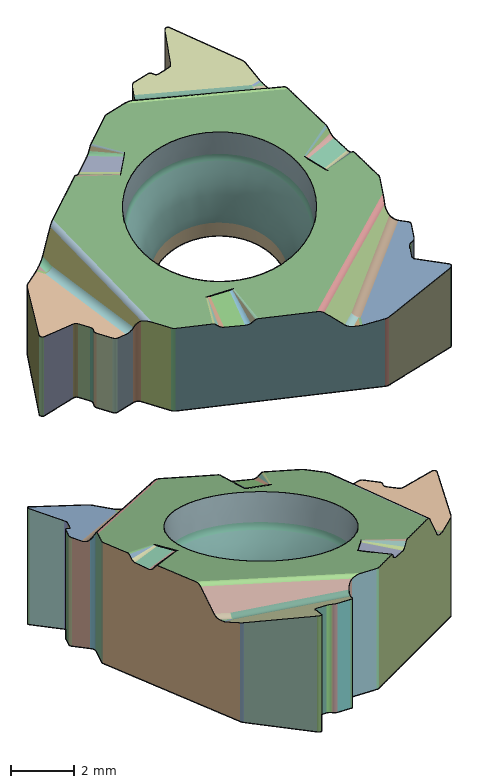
import cadquery as cq
import math

CORNER_COUNT = 3
CORNER_STEP = 360 / CORNER_COUNT

thickness = 4.11
inradius = 4.74
flank_distance = 6.44
tip_distance = 6.92
tip_radius = 0.11
flank_angle = 60
flank_slope = math.tan(math.radians(flank_angle))

root_y = -5.77
step_drop = 0.19
step_middle_x = -2.0
shoulder_x = -1.22
heel_y = -5.21
form_radius = 0.16
corner_radius = 0.27

hole_radius = 4.4 / 2
seat_radius = 6.16 / 2
seat_neck_radius = 3.0
seat_wall_depth = 1.02
seat_inner_round = 0.44
seat_bell_radius = 3.74

rake_tip_drop = 0.16
rake_angle = 14.3
groove_direction = -122
groove_wall_distance = 4.68
groove_wall_angle = 52.5
groove_depth = 0.95
groove_inner_round = 0.31
groove_top_round = 0.25
groove_reach = 8.02
groove_headroom = 0.67

notch_center_y = 0.24
notch_heading = 13
notch_length = 1.27
notch_overrun = 0.4
notch_headroom = 0.27
notch_floor_width = 0.65
notch_outer_depth = 0.31
notch_outer_wall_angle = 47
notch_inner_depth = 0.03
notch_inner_wall_angle = 20
notch_floor_round = 0.27
notch_top_round = 0.13


def direction(degrees):
    return math.cos(math.radians(degrees)), math.sin(math.radians(degrees))


def turn(point, degrees):
    cosine, sine = direction(degrees)
    x, y = point
    return x * cosine - y * sine, x * sine + y * cosine


def around_corners(shape):
    """Return the shape repeated at all corners."""
    axis_end = (0, 0, 1)
    return [shape.rotate((0, 0, 0), axis_end, i * CORNER_STEP) for i in range(CORNER_COUNT)]


def rounded_outline(corners):
    """Closed outline through (point, radius) corners, each rounded by a tangent arc."""
    arcs = []
    for i, (point, radius) in enumerate(corners):
        corner = cq.Vector(*point)
        before = (cq.Vector(*corners[i - 1][0]) - corner).normalized()
        after = (cq.Vector(*corners[(i + 1) % len(corners)][0]) - corner).normalized()
        half_angle = before.getAngle(after) / 2
        setback = radius / math.tan(half_angle)
        bulge = radius / math.sin(half_angle) - radius
        middle = corner + (before + after).normalized() * bulge
        arcs.append((corner + before * setback, middle, corner + after * setback))
    outline = cq.Workplane("XY").moveTo(*arcs[0][2].toTuple()[:2])
    for start, middle, end in arcs[1:] + arcs[:1]:
        outline = outline.lineTo(start.x, start.y)
        outline = outline.threePointArc((middle.x, middle.y), (end.x, end.y))
    return outline.close()


def corner_form():
    """Corners of one third of the outline, from the long side at -X to the next one."""
    tip_y = -tip_distance - tip_radius
    flank_x, flank_y = direction(270 - flank_angle)
    tip_x = (flank_distance - flank_y * tip_y) / flank_x
    flank_start_y = (flank_distance + flank_x * inradius) / flank_y
    root_x = tip_x + (root_y - tip_y) / flank_slope
    land_y = root_y - step_drop
    step_half_run = step_drop / flank_slope / 2
    heel_x = shoulder_x + (heel_y - land_y) / flank_slope
    side_x, side_y = direction(180 + CORNER_STEP)
    heel_end_x = (inradius - side_y * heel_y) / side_x
    return [
        ((-inradius, flank_start_y), corner_radius),
        ((tip_x, tip_y), tip_radius),
        ((root_x, root_y), form_radius),
        ((step_middle_x - step_half_run, root_y), form_radius),
        ((step_middle_x + step_half_run, land_y), form_radius),
        ((shoulder_x, land_y), form_radius),
        ((heel_x, heel_y), corner_radius),
        ((heel_end_x, heel_y), corner_radius),
    ]


def body():
    corners = []
    for i in range(CORNER_COUNT):
        corners += [(turn(point, i * CORNER_STEP), radius) for point, radius in corner_form()]
    return rounded_outline(corners).extrude(thickness)


def screw_hole():
    """Tapered seat wall, small concave round, then a bell curve tangent to the hole."""
    taper = math.atan((seat_radius - seat_neck_radius) / seat_wall_depth)
    round_x = seat_neck_radius - seat_inner_round * math.cos(taper)
    round_z = thickness - seat_wall_depth + seat_inner_round * math.sin(taper)
    narrowing = round_x + seat_inner_round - hole_radius
    swing = math.acos(1 - narrowing / (seat_inner_round + seat_bell_radius))
    bell_x = hole_radius + seat_bell_radius
    bell_z = round_z - (seat_inner_round + seat_bell_radius) * math.sin(swing)

    def on_round(angle):
        return (round_x + seat_inner_round * math.cos(angle),
                round_z - seat_inner_round * math.sin(angle))

    def on_bell(angle):
        return (bell_x - seat_bell_radius * math.cos(angle),
                bell_z + seat_bell_radius * math.sin(angle))

    return (
        cq.Workplane("XZ")
        .moveTo(0, thickness)
        .lineTo(seat_radius, thickness)
        .lineTo(*on_round(taper))
        .threePointArc(on_round((taper + swing) / 2), on_round(swing))
        .threePointArc(on_bell(swing / 2), on_bell(0))
        .lineTo(hole_radius, 0)
        .lineTo(0, 0)
        .close()
        .revolve(360, (0, 0, 0), (0, 1, 0))
    )


def chip_groove():
    """Space above the rake face and groove floor, outside the sloping groove wall."""
    out_x, out_y = direction(groove_direction)
    wall_angle = math.radians(groove_wall_angle)
    floor_z = thickness - groove_depth
    ceiling_z = thickness + groove_headroom
    wall_foot = groove_wall_distance + groove_depth / math.tan(wall_angle)
    far_side = groove_wall_distance + groove_reach

    top_setback = groove_top_round * math.tan(wall_angle / 2)
    round_start = groove_wall_distance - top_setback

    def on_top_round(angle):
        return (round_start + groove_top_round * math.sin(angle),
                thickness - groove_top_round * (1 - math.cos(angle)))

    wall_plane = cq.Plane(origin=(0, 0, 0), xDir=(out_x, out_y, 0), normal=(out_y, -out_x, 0))
    trough = (
        cq.Workplane(wall_plane)
        .moveTo(round_start, ceiling_z)
        .lineTo(round_start, thickness)
        .threePointArc(on_top_round(wall_angle / 2), on_top_round(wall_angle))
        .lineTo(wall_foot, floor_z)
        .lineTo(far_side, floor_z)
        .lineTo(far_side, ceiling_z)
        .close()
        .extrude(groove_reach, both=True)
    )

    rake_slope = math.tan(math.radians(rake_angle))
    floor_end_y = -tip_distance + (groove_depth - rake_tip_drop) / rake_slope
    rake_far_y = floor_end_y - (ceiling_z - floor_z) / rake_slope
    under_rake = (
        cq.Workplane("YZ")
        .polyline([(floor_end_y, floor_z), (rake_far_y, ceiling_z), (2 * rake_far_y, ceiling_z),
                   (2 * rake_far_y, 0), (floor_end_y, 0)])
        .close()
        .extrude(2 * groove_reach, both=True)
    )
    groove = trough.cut(under_rake)

    meeting_x = (wall_foot - out_y * floor_end_y) / out_x
    meeting_point = cq.Vector(meeting_x, floor_end_y, floor_z)
    tolerance = 0.0001
    inner_edges = groove.edges().filter(
        lambda edge: any((vertex.Center() - meeting_point).Length < tolerance
                         for vertex in edge.Vertices())
    )
    return groove.newObject(inner_edges.vals()).fillet(groove_inner_round)


def notch_section(run, depth, wall_angle):
    """Notch outline square to its heading: floor, floor round, wall and top round on each side."""
    along_x, along_y = direction(notch_heading)
    plane = cq.Plane(
        origin=(-inradius + run * along_x, notch_center_y + run * along_y, thickness),
        xDir=(-along_y, along_x, 0),
        normal=(along_x, along_y, 0),
    )
    swing = math.radians(wall_angle)
    half_floor = notch_floor_width / 2
    rounds_height = (notch_floor_round + notch_top_round) * (1 - math.cos(swing))
    rounds_width = (notch_floor_round + notch_top_round) * math.sin(swing)
    half_top = half_floor + rounds_width + (depth - rounds_height) / math.tan(swing)

    def on_floor_round(side, angle):
        return (side * (half_floor + notch_floor_round * math.sin(angle)),
                -depth + notch_floor_round * (1 - math.cos(angle)))

    def on_top_round(side, angle):
        return (side * (half_top - notch_top_round * math.sin(angle)),
                -notch_top_round * (1 - math.cos(angle)))

    outline = (
        cq.Workplane(plane)
        .moveTo(-half_top, notch_headroom)
        .lineTo(-half_top, 0)
        .threePointArc(on_top_round(-1, swing / 2), on_top_round(-1, swing))
        .lineTo(*on_floor_round(-1, swing))
        .threePointArc(on_floor_round(-1, swing / 2), (-half_floor, -depth))
        .lineTo(half_floor, -depth)
        .threePointArc(on_floor_round(1, swing / 2), on_floor_round(1, swing))
        .lineTo(*on_top_round(1, swing))
        .threePointArc(on_top_round(1, swing / 2), (half_top, 0))
        .lineTo(half_top, notch_headroom)
        .close()
    )
    return outline.val()


def side_notch():
    """Trough whose floor climbs from the long side at -X towards the hole."""
    outer = notch_section(-notch_overrun, notch_outer_depth, notch_outer_wall_angle)
    inner = notch_section(notch_length, notch_inner_depth, notch_inner_wall_angle)
    return cq.Workplane(cq.Solid.makeLoft([outer, inner], True))


result = body().cut(screw_hole())
for groove in around_corners(chip_groove()):
    result = result.cut(groove)
for notch in around_corners(side_notch()):
    result = result.cut(notch)